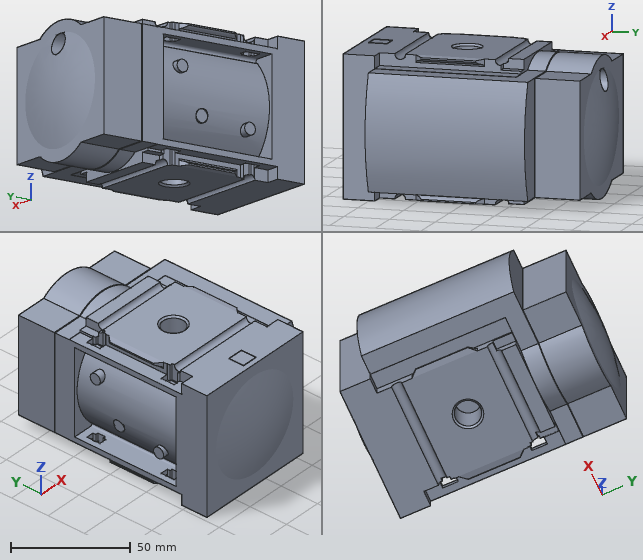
import cadquery as cq
import math

body_size = 62.0
half = body_size / 2
overall_length = 111.1
overall_width = 75.8

front_y = -44.9
front_dome_height = 4.1
rear_dome_height = 3.2
dome_radius = 24.9
rear_y = overall_length + front_y - front_dome_height - rear_dome_height
cover_end_y = 38.9

plateau_half = 24.0
flange_z = 25.5
cover_z = 25.4

bump_half_width = 14.8
bump_z = 30.5
seam_size = 0.2

side_wall_x = 40.0
side_crown_x = overall_width - half

groove_radius = 2.3
groove_y = 22.0
relief_length = 8.9
relief_x = 20.0
relief_z = 26.7

port_diameter = 11.4
port_chamfer = 0.9
port_depth = 16.7

lug_reach = 2.9
lug_half_base = 15.0
lug_half_tip = 11.9
lug_root = 1.1
lug_profile = [
    (-lug_root, 0),
    (0, 0),
    (lug_reach, 0.4),
    (lug_reach, 1.1),
    (2.0, 1.8),
    (0.3, 2.4),
    (0, 3.2),
    (-lug_root, 3.2),
]

slot_y = 20.4
slot_head_x = -27.7
slot_shoulder_x = -23.8
slot_head_width = 7.1
slot_neck_x = -22.4
slot_neck_width = 4.0

window_half_length = 28.0
window_half_height = 22.8
window_floor_x = -20.8
drum_radius = 29.3
window_groove_radius = 1.0

pin_diameter = 5.5
pin_end_x = -30.0
pin_positions = [(17.4, 10.9), (-17.4, -11.0)]
spot_diameter = 6.0
spot_face_x = -28.0
spot_position = (6.0, -8.7)

vent_diameter = 9.4
vent_z = dome_radius - vent_diameter / 2
vent_depth = 11.1

label_size = 8.0
label_y = -38.0
label_depth = 0.2


def block(x_range, y_range, z_range):
    """Box between the given limits on each axis."""
    size = [high - low for low, high in (x_range, y_range, z_range)]
    corner = (x_range[0], y_range[0], z_range[0])
    return cq.Workplane("XY").box(*size, centered=False).translate(corner)


def along_y(y_start):
    """XZ sketch plane at y_start whose extrusions run toward +Y; local x is -X, local y is Z."""
    return cq.Workplane(cq.Plane((0, y_start, 0), xDir=(-1, 0, 0), normal=(0, 1, 0)))


def both_faces(shape):
    """Shape on the top together with its mirror image on the bottom."""
    return shape.union(shape.mirror("XY"))


def both_sides(shape):
    """Shape together with its mirror image across the YZ plane."""
    return shape.union(shape.mirror("YZ"))


def make_body():
    """Square body with flanges stepped down along both sides of the port plates."""
    body = block((-half, half), (front_y, half), (-half, half))
    step = block((plateau_half, half), (-half, half), (flange_z, half))
    return body.cut(both_sides(both_faces(step)))


def make_cover():
    """L-shaped cover: a plate behind the body and a block with a curved outer side."""
    back_plate = block((-half, half), (half, cover_end_y), (-cover_z, cover_z))
    side_block = (
        along_y(-half)
        .moveTo(-half, -cover_z)
        .lineTo(-side_wall_x, -cover_z)
        .threePointArc((-side_crown_x, 0), (-side_wall_x, cover_z))
        .lineTo(-half, cover_z)
        .close()
        .extrude(cover_end_y + half)
    )
    return back_plate.union(side_block)


def rear_section(y_start, y_end, inset):
    """Length of the rear cap with a rounded bump above and below, shrunk by inset."""
    cap = block((inset - half, half - inset), (y_start, y_end), (inset - cover_z, cover_z - inset))
    bump = (
        along_y(y_start)
        .moveTo(-bump_half_width, 0)
        .lineTo(-bump_half_width, cover_z - inset)
        .threePointArc((0, bump_z - inset), (bump_half_width, cover_z - inset))
        .lineTo(bump_half_width, 0)
        .close()
        .extrude(y_end - y_start)
    )
    return cap.union(both_faces(bump))


def make_dome(base_y, direction, height):
    """Shallow spherical cap on the Y axis bulging along direction (+1 or -1)."""
    tip_y = base_y + direction * height
    sphere_radius = (dome_radius ** 2 + height ** 2) / (2 * height)
    sphere_centre_y = tip_y - direction * sphere_radius
    mid_radius = dome_radius / 2
    mid_y = sphere_centre_y + direction * math.sqrt(sphere_radius ** 2 - mid_radius ** 2)
    return (
        cq.Workplane("XY")
        .moveTo(0, base_y)
        .lineTo(dome_radius, base_y)
        .threePointArc((mid_radius, mid_y), (0, tip_y))
        .close()
        .revolve(360, (0, 0, 0), (0, 1, 0))
    )


def make_lug():
    """Tapered lug on the +X side of the top port plate."""
    tip_x = plateau_half + lug_reach
    bar = (
        along_y(-lug_half_base)
        .polyline([(-plateau_half - reach, half - depth) for reach, depth in lug_profile])
        .close()
        .extrude(2 * lug_half_base)
    )
    outline = (
        cq.Workplane("XY")
        .polyline([
            (plateau_half - lug_root, -lug_half_base),
            (plateau_half, -lug_half_base),
            (tip_x, -lug_half_tip),
            (tip_x, lug_half_tip),
            (plateau_half, lug_half_base),
            (plateau_half - lug_root, lug_half_base),
        ])
        .close()
        .extrude(half)
    )
    return bar.intersect(outline)


def make_plate_cuts():
    """Round cross grooves and the corner reliefs of the top port plate."""
    cuts = block((relief_x, plateau_half), (half - relief_length, half), (relief_z, half))
    cuts = both_sides(cuts)
    for y in (-groove_y, groove_y):
        groove = (
            cq.Workplane("YZ", origin=(-plateau_half, 0, 0))
            .center(y, half)
            .circle(groove_radius)
            .extrude(2 * plateau_half)
        )
        cuts = cuts.union(groove)
    return cuts


def make_t_slots():
    """T-shaped slots through the top flange on the -X side."""
    z_range = (window_half_height, half)
    slots = cq.Workplane("XY")
    for y in (-slot_y, slot_y):
        head_y = (y - slot_head_width / 2, y + slot_head_width / 2)
        neck_y = (y - slot_neck_width / 2, y + slot_neck_width / 2)
        slots = slots.add(block((slot_head_x, slot_shoulder_x), head_y, z_range))
        slots = slots.add(block((slot_shoulder_x, slot_neck_x), neck_y, z_range))
    return slots.combine()


def make_port():
    """Blind port with a chamfered mouth in the top plate."""
    radius = port_diameter / 2
    return (
        cq.Workplane("XZ")
        .polyline([
            (0, half),
            (radius + port_chamfer, half),
            (radius, half - port_chamfer),
            (radius, half - port_depth),
            (0, half - port_depth),
        ])
        .close()
        .revolve(360, (0, 0, 0), (0, 1, 0))
    )


def make_window():
    """Window in the -X side, with the drum left standing inside it."""
    length_range = (-window_half_length, window_half_length)
    height_range = (-window_half_height, window_half_height)
    opening = block((-half, window_floor_x), length_range, height_range)
    drum = along_y(-window_half_length).circle(drum_radius).extrude(2 * window_half_length)
    groove = (
        along_y(-window_half_length)
        .center(-window_floor_x, window_half_height - window_groove_radius)
        .circle(window_groove_radius)
        .extrude(2 * window_half_length)
    )
    return opening.cut(drum).union(both_faces(groove))


def make_rod(position, diameter, x_start, x_end):
    """Round rod along X at a (Y, Z) position."""
    return (
        cq.Workplane("YZ", origin=(x_start, 0, 0))
        .center(*position)
        .circle(diameter / 2)
        .extrude(x_end - x_start)
    )


part = make_body().union(make_cover())
part = part.union(rear_section(half, cover_end_y, 0))
part = part.union(rear_section(cover_end_y, cover_end_y + seam_size, seam_size))
part = part.union(rear_section(cover_end_y + seam_size, rear_y, 0))
part = part.union(make_dome(front_y, -1, front_dome_height))
part = part.union(make_dome(rear_y, 1, rear_dome_height))

part = part.union(both_sides(both_faces(make_lug())))
part = part.cut(both_faces(make_plate_cuts()))
part = part.cut(both_faces(make_port()))

part = part.cut(make_window())
part = part.cut(both_faces(make_t_slots()))
for pin_position in pin_positions:
    part = part.union(make_rod(pin_position, pin_diameter, pin_end_x, window_floor_x))
part = part.cut(make_rod(spot_position, spot_diameter, -half, spot_face_x))
part = part.union(make_rod(spot_position, spot_diameter, spot_face_x, window_floor_x))

vent = (
    along_y(rear_y + rear_dome_height - vent_depth)
    .center(0, vent_z)
    .circle(vent_diameter / 2)
    .extrude(vent_depth)
)
label_half = label_size / 2
label = block(
    (-label_half, label_half),
    (label_y - label_half, label_y + label_half),
    (half - label_depth, half),
)
part = part.cut(vent).cut(label)

result = part